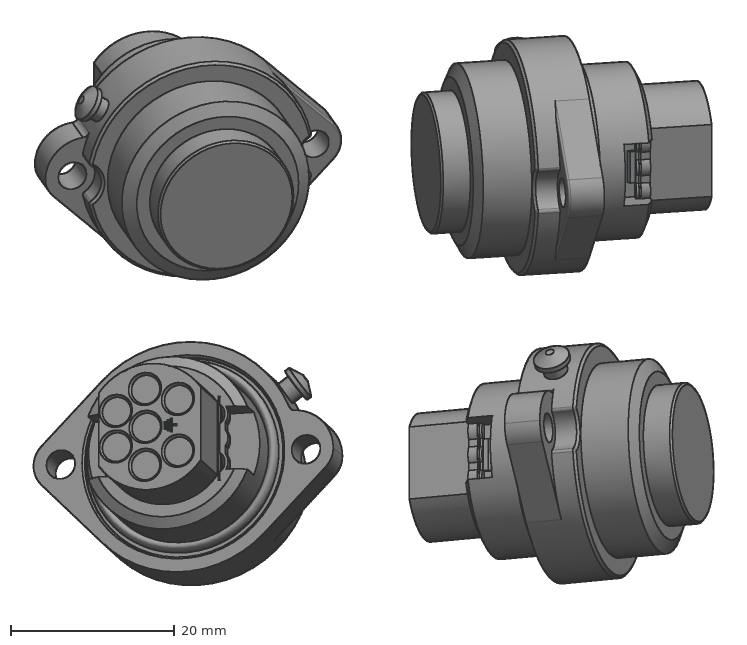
import cadquery as cq
import math


housing_front = -8.25
housing_radius = 21.7 / 2
housing_chamfer_length = 0.72
housing_chamfer_height = 1.35
flange_radius = 29.0 / 2
flange_length = 7.6
flange_edge_chamfer = 0.35
collar_radius = 24.0 / 2
collar_end = 14.6
collar_chamfer_length = 0.9
collar_chamfer_height = 1.65
stub_radius = 17.4 / 2
stub_end = 18.25
stub_chamfer = 0.25

ear_thickness = 4.52
ear_reach = 19.0
ear_radius = 3.45
ear_hole_y = ear_reach - ear_radius
ear_hole_diameter = 3.6
large_ear_radius = 5.0
large_ear_y = ear_reach - large_ear_radius
ear_root_fillet = 0.87
fill_overlap = 0.38
ear_edge_fillet = 0.25
screw_clearance_radius = 2.85
screw_clearance_fillet = 0.45

gasket_outer_radius = 12.08
gasket_front = -1.15
recess_depth = 0.9
recess_bevel = 0.25
recess_rim_radius = 25.7 / 2
recess_radius = recess_rim_radius - recess_bevel
gasket_half_width = (recess_depth - gasket_front) / 2
gasket_half_height = (gasket_outer_radius - housing_radius) / 2

stud_angle = 35.0
stud_x = 4.33
stud_stem_radius = 3.0 / 2
stud_head_radius = 4.5 / 2
stud_tip_radius = 0.55
stud_root_depth = 0.75
stud_start = flange_radius - stud_root_depth
stud_head_start = 16.07
stud_rim_end = 16.7
stud_tip = 17.5

insert_front = -16.22
insert_radius = 7.95
insert_flat_y = 6.45
contact_rim_diameter = 4.15
contact_diameter = 3.6
contact_depth = 0.38
contact_middle_y = 0.55
contact_places = [
    (contact_middle_y, 0),
    (0.6, 4.8), (0.6, -4.8),
    (-3.57, 3.25), (-3.57, -3.25),
    (4.3, 2.25), (4.3, -2.25),
]

mark_height = 0.23
mark_line = 0.2
mark_bars = [(-2.0, 0.9), (-2.4, 1.3), (-2.77, 1.67)]
mark_stem_end = -3.42

notch_half_height = 3.95
notch_end = -4.4
notch_floor_y = 6.6
lip_y = 7.5
lip_front_end = -7.05
lip_middle_end = -6.85
lip_end = -6.5
lip_steps = [
    (housing_front, lip_front_end, 0),
    (lip_front_end, lip_middle_end, 0.08),
    (lip_middle_end, lip_end, 0.15),
]
middle_bump_radius = 1.7
middle_bump_peak_y = 7.83
middle_bump_y = middle_bump_peak_y - middle_bump_radius
outer_bump_radius = 1.82
pocket_radius = 2.85 / 2
pocket_floor_radius = 0.75
pocket_y = 6.0
pocket_z = 3.05
pocket_chord_y = 7.05
slit_outer_y = 6.8
slit_half_height = 5.28
tab_half_height = 2.0
tab_ramp_start = -5.85
tab_end = -5.55
tab_rise = 0.45


def bar_x(start, end, radius, y=0, z=0):
    """Cylinder along X between two X positions."""
    return cq.Workplane("YZ", origin=(start, y, z)).circle(radius).extrude(end - start)


def block(x_range, y_range, z_range):
    """Box spanning the given (low, high) ranges."""
    ranges = (x_range, y_range, z_range)
    size = [high - low for low, high in ranges]
    low_corner = tuple(low for low, _ in ranges)
    return cq.Workplane("XY").box(*size, centered=False).translate(low_corner)


def turned_body():
    """Housing barrel, rear collar and stub turned about X."""
    profile = [
        (housing_front, 0),
        (housing_front, housing_radius - housing_chamfer_height),
        (housing_front + housing_chamfer_length, housing_radius),
        (0, housing_radius),
        (0, collar_radius),
        (collar_end - collar_chamfer_length, collar_radius),
        (collar_end, collar_radius - collar_chamfer_height),
        (collar_end, stub_radius),
        (stub_end - stub_chamfer, stub_radius),
        (stub_end, stub_radius - stub_chamfer),
        (stub_end, 0),
    ]
    return cq.Workplane("XY").polyline(profile).close().revolve(360, (0, 0, 0), (1, 0, 0))


def ear(side):
    """Ear plate whose straight edges are tangent to the flange and to the ear's round end."""
    tilt = math.acos((flange_radius - ear_radius) / ear_hole_y)
    root = (side * flange_radius * math.cos(tilt), flange_radius * math.sin(tilt))
    tip_y = side * (ear_hole_y + ear_radius * math.cos(tilt))
    tip_z = ear_radius * math.sin(tilt)
    return (
        cq.Workplane("YZ")
        .moveTo(0, 0)
        .lineTo(*root)
        .lineTo(tip_y, tip_z)
        .threePointArc((side * ear_reach, 0), (tip_y, -tip_z))
        .lineTo(root[0], -root[1])
        .close()
        .extrude(ear_thickness)
    )


def front_ear():
    """-Y ear: tangent plate below Z = 0 and a larger round quarter above it."""
    lower_half = block((0, ear_thickness), (-ear_reach, 0), (-flange_radius, 0))
    diagonal = large_ear_radius * math.sqrt(0.5)
    upper = (
        cq.Workplane("YZ")
        .moveTo(0, 0)
        .lineTo(-ear_reach, 0)
        .threePointArc((-large_ear_y - diagonal, diagonal), (-large_ear_y, large_ear_radius))
        .lineTo(0, large_ear_radius)
        .close()
        .extrude(ear_thickness)
    )
    return ear(-1).intersect(lower_half).union(upper)


def ear_root_fill():
    """Concave fillet between the upper edge of the -Y ear and the flange rim."""
    from_flange = flange_radius + ear_root_fillet
    from_ear = large_ear_radius + ear_root_fillet
    centre_y = (from_ear ** 2 - from_flange ** 2 - large_ear_y ** 2) / (2 * large_ear_y)
    centre_z = math.sqrt(from_flange ** 2 - centre_y ** 2)
    share = flange_radius / from_flange
    touch_y, touch_z = centre_y * share, centre_z * share
    wedge = (
        cq.Workplane("YZ")
        .polyline([(centre_y, large_ear_radius), (centre_y, centre_z), (touch_y, touch_z),
                   (touch_y + fill_overlap, large_ear_radius - fill_overlap),
                   (centre_y, large_ear_radius - fill_overlap)])
        .close()
        .extrude(ear_thickness)
    )
    return wedge.cut(bar_x(0, ear_thickness, ear_root_fillet, centre_y, centre_z))


def flange():
    """Round flange with screw clearances behind two ears."""
    ring = bar_x(0, flange_length, flange_radius)
    for side in (1, -1):
        ring = ring.cut(bar_x(ear_thickness, flange_length, screw_clearance_radius, side * ear_hole_y))
    corners = cq.selectors.BoxSelector(
        (ear_thickness, -flange_radius, -screw_clearance_radius),
        (flange_length, flange_radius, screw_clearance_radius),
    )
    ring = ring.edges("|X").edges(corners).fillet(screw_clearance_fillet)
    ring = ring.faces(">X").edges().chamfer(flange_edge_chamfer)

    back_ear = ear(1).faces(">X").edges(">Z or >Y").fillet(ear_edge_fillet)
    plate = ring.union(back_ear).union(front_ear()).union(ear_root_fill())
    for side in (1, -1):
        plate = plate.cut(bar_x(0, ear_thickness, ear_hole_diameter / 2, side * ear_hole_y))
    return plate


def gasket_recess():
    """Ring-shaped recess with a bevelled rim in the flange face."""
    profile = [
        (0, housing_radius),
        (0, recess_rim_radius),
        (recess_bevel, recess_radius),
        (recess_depth, recess_radius),
        (recess_depth, housing_radius),
    ]
    return cq.Workplane("XY").polyline(profile).close().revolve(360, (0, 0, 0), (1, 0, 0))


def stud():
    """Headed stud standing radially on the flange."""
    profile = [
        (0, stud_start),
        (stud_stem_radius, stud_start),
        (stud_stem_radius, stud_head_start),
        (stud_head_radius, stud_head_start),
        (stud_head_radius, stud_rim_end),
        (stud_tip_radius, stud_tip),
        (0, stud_tip),
    ]
    upright = cq.Workplane("XZ").polyline(profile).close().revolve(360, (0, 0, 0), (0, 1, 0))
    return upright.rotate((0, 0, 0), (1, 0, 0), 90 - stud_angle).translate((stud_x, 0, 0))


def insert():
    """Round insert nose with two flats and seven contact recesses."""
    flats = block(
        (insert_front, housing_front),
        (-insert_flat_y, insert_flat_y),
        (-insert_radius, insert_radius),
    )
    nose = bar_x(insert_front, housing_front, insert_radius).intersect(flats)
    taper = (
        cq.Workplane("YZ", origin=(insert_front, 0, 0))
        .circle(contact_rim_diameter / 2)
        .workplane(offset=contact_depth)
        .circle(contact_diameter / 2)
        .loft()
    )
    for y, z in contact_places:
        nose = nose.cut(taper.translate((0, y, z)))
    return nose


def earth_mark():
    """Raised earth symbol: three bars of growing height and a stem."""
    x_range = (insert_front - mark_height, insert_front)
    tallest_y = mark_bars[-1][0]
    mark = block(x_range, (mark_stem_end, tallest_y), (-mark_line / 2, mark_line / 2))
    for y, height in mark_bars:
        bar = block(x_range, (y - mark_line / 2, y + mark_line / 2), (-height / 2, height / 2))
        mark = mark.union(bar)
    return mark


def scalloped_lip(start, end, set_back):
    """Wall with three rounded bumps along Z, on the +Y side."""
    height = (-notch_half_height, notch_half_height)
    lip = block((start, end), (0, lip_y - set_back), height)
    lip = lip.union(bar_x(start, end, middle_bump_radius - set_back, middle_bump_y))
    for z in (pocket_z, -pocket_z):
        lip = lip.union(bar_x(start, end, outer_bump_radius - set_back, pocket_y, z))
    return lip


def side_notch():
    """Cutter for the notch on the +Y side, which leaves the scalloped lip and a ramped tab standing."""
    height = (-notch_half_height, notch_half_height)
    cutter = block((housing_front, notch_end), (notch_floor_y, housing_radius), height)
    for start, end, set_back in lip_steps:
        cutter = cutter.cut(scalloped_lip(start, end, set_back))
    tab = (
        cq.Workplane("XY", origin=(0, 0, -tab_half_height))
        .polyline([
            (lip_end, notch_floor_y),
            (lip_end, notch_floor_y + tab_rise),
            (tab_ramp_start, notch_floor_y + tab_rise),
            (tab_end, notch_floor_y),
        ])
        .close()
        .extrude(2 * tab_half_height)
    )
    return cutter.cut(tab)


def face_pockets(chord_y):
    """Pair of crescent pockets in the housing face on the +Y side, beyond a straight edge."""
    keep = block(
        (housing_front, lip_front_end),
        (chord_y, housing_radius),
        (-housing_radius, housing_radius),
    )
    cone = (
        cq.Workplane("YZ", origin=(housing_front, pocket_y, 0))
        .circle(pocket_radius)
        .workplane(offset=lip_front_end - housing_front)
        .circle(pocket_floor_radius)
        .loft()
    )
    pockets = cone.translate((0, 0, pocket_z)).union(cone.translate((0, 0, -pocket_z)))
    return pockets.intersect(keep)


def make_connector():
    """Housing, flange, stud and insert nose as one solid."""
    body = turned_body().union(flange()).cut(gasket_recess())
    body = body.union(stud()).union(insert()).union(earth_mark())
    body = body.cut(side_notch()).cut(side_notch().mirror("XZ"))
    body = body.cut(face_pockets(pocket_chord_y)).cut(face_pockets(slit_outer_y).mirror("XZ"))
    slit = block(
        (housing_front, lip_front_end),
        (-slit_outer_y, -notch_floor_y),
        (-slit_half_height, slit_half_height),
    )
    return body.cut(slit)


def make_gasket():
    """Sealing ring of oval section, seated on the housing and against the recess floor."""
    centre_x = gasket_front + gasket_half_width
    centre_radius = housing_radius + gasket_half_height
    return (
        cq.Workplane("XY", origin=(centre_x, centre_radius, 0))
        .ellipse(gasket_half_width, gasket_half_height)
        .revolve(360, (0, -centre_radius, 0), (1, -centre_radius, 0))
    )


connector = make_connector()
gasket = make_gasket()

result = cq.Compound.makeCompound([connector.val(), gasket.val()])